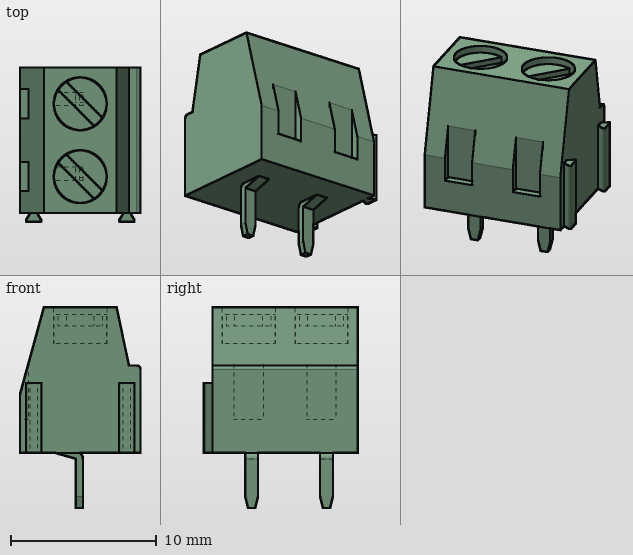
import cadquery as cq
import math


depth = 10.0
height = 10.0
width = 8.3
top_width = 5.0
top_left = (width - top_width) / 2
wall_height = 4.0
shelf_height = 6.0
shelf_start = 7.5
shelf_fillet = 0.3

pole_pitch = 5.0
pole_ys = [(depth - pole_pitch) / 2, (depth + pole_pitch) / 2]

pocket_width = 2.0
pocket_bottom = 2.3
pocket_depth = 0.6

rib_xs = [0.95, 7.35]
rib_height = 4.8
rib_projection = 0.6
rib_neck = 0.5
rib_angle = 60.0
rib_fillet = 0.08

screw_diameter = 3.6
screw_hole_diameter = 3.65
screw_recess = 0.5
screw_length = 2.0
screw_slot_width = 0.8
screw_slot_depth = 0.8
screw_slot_angle = -45.0
screw_x = width / 2

pin_width = 0.9
pin_thickness = 0.5
pin_left = 3.84
pin_length = 3.8
pin_bend_drop = 0.42
pin_bend_run = 1.47
pin_tip_length = 0.8
pin_tip_width = 0.5
pin_pitch = 5.14
pin_first_y = 2.7


def make_body():
    """Wedge-shaped block with a shelf along its right side."""
    body = (
        cq.Workplane("XZ")
        .polyline([
            (0, 0),
            (width, 0),
            (width, shelf_height),
            (shelf_start, shelf_height),
            (top_left + top_width, height),
            (top_left, height),
            (0, wall_height),
        ])
        .close()
        .extrude(-depth)
    )
    shelf_edge = cq.selectors.NearestToPointSelector((width, depth / 2, shelf_height))
    return body.edges(shelf_edge).fillet(shelf_fillet)


def make_rib(x):
    """Dovetail rib that widens away from the front face."""
    half_neck = rib_neck / 2
    half_face = half_neck + rib_projection / math.tan(math.radians(rib_angle))
    return (
        cq.Workplane("XY")
        .polyline([
            (x - half_neck, 0),
            (x - half_face, -rib_projection),
            (x + half_face, -rib_projection),
            (x + half_neck, 0),
        ])
        .close()
        .extrude(rib_height)
        .edges("|Z and <Y")
        .fillet(rib_fillet)
    )


def make_pocket(y):
    """Cutter for a wire entry, tall enough to run out through the sloped wall."""
    return cq.Workplane("XY").box(
        pocket_depth, pocket_width, height - pocket_bottom, centered=(False, True, False)
    ).translate((0, y, pocket_bottom))


def make_screw_hole(y):
    """Cutter for the blind hole that holds a screw below the top face."""
    hole_depth = screw_recess + screw_length
    return (
        cq.Workplane("XY", origin=(screw_x, y, height - hole_depth))
        .circle(screw_hole_diameter / 2)
        .extrude(hole_depth)
    )


def make_housing():
    housing = make_body()
    for x in rib_xs:
        housing = housing.union(make_rib(x))
    for y in pole_ys:
        housing = housing.cut(make_pocket(y)).cut(make_screw_hole(y))
    return housing


def make_screw(y):
    """Round screw with a diagonal driver slot, standing on the floor of its hole."""
    slot = (
        cq.Workplane("XY")
        .box(2 * screw_diameter, screw_slot_width, screw_slot_depth, centered=(True, True, False))
        .rotate((0, 0, 0), (0, 0, 1), screw_slot_angle)
        .translate((0, 0, screw_length - screw_slot_depth))
    )
    screw = cq.Workplane("XY").circle(screw_diameter / 2).extrude(screw_length).cut(slot)
    return screw.translate((screw_x, y, height - screw_recess - screw_length))


def make_pin(y):
    """Strip bent downwards below the housing, with a tapered tip."""
    right = pin_left + pin_thickness
    arc_end_angle = math.asin(pin_bend_drop / pin_thickness)
    arc_end_x = pin_left + pin_thickness * math.cos(arc_end_angle)
    arc_mid = (
        pin_left + pin_thickness * math.cos(arc_end_angle / 2),
        -pin_bend_drop + pin_thickness * math.sin(arc_end_angle / 2),
    )
    strip = (
        cq.Workplane("XZ")
        .moveTo(pin_left - pin_bend_run, 0)
        .lineTo(pin_left, -pin_bend_drop)
        .lineTo(pin_left, -pin_length)
        .lineTo(right, -pin_length)
        .lineTo(right, -pin_bend_drop)
        .threePointArc(arc_mid, (arc_end_x, 0))
        .close()
        .extrude(pin_width / 2, both=True)
    )
    tip_start = pin_tip_length - pin_length
    outline = (
        cq.Workplane("YZ")
        .polyline([
            (-pin_width / 2, 0),
            (-pin_width / 2, tip_start),
            (-pin_tip_width / 2, -pin_length),
            (pin_tip_width / 2, -pin_length),
            (pin_width / 2, tip_start),
            (pin_width / 2, 0),
        ])
        .close()
        .extrude(width)
    )
    return strip.intersect(outline).translate((0, y, 0))


housing = make_housing()
screws = [make_screw(y) for y in pole_ys]
pins = [make_pin(pin_first_y + i * pin_pitch) for i in range(len(pole_ys))]

result = cq.Compound.makeCompound(
    [housing.val()] + [screw.val() for screw in screws] + [pin.val() for pin in pins]
)